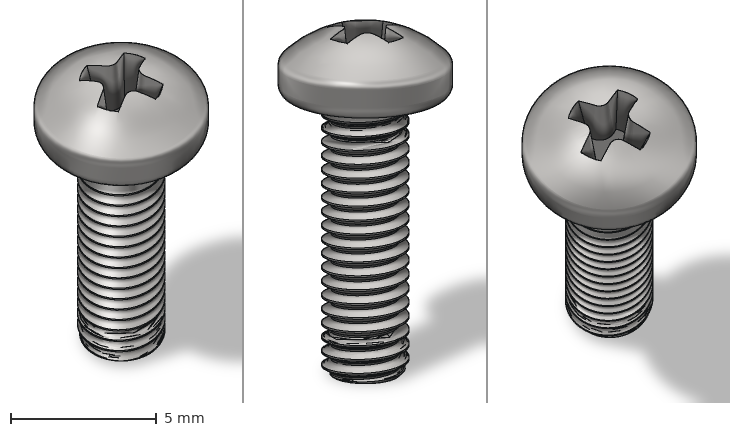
import cadquery as cq
import math

total_length = 12.44
shank_length = 9.96
head_radius = 3.0

underside_fillet = 0.45
head_wall_top = shank_length + 1.1
dome_edge_radius = 2.85
dome_edge_z = shank_length + 1.4
dome_apex_z = total_length + 0.06

recess_depth = 2.05
arm_mouth_width = 0.82
arm_floor_width = 0.41
arm_corner_radius = 0.34
mouth_radius = 1.5
floor_radius = 0.93

major_radius = 1.5
minor_radius = 1.18
twenty_pitches = 10.0
pitch = twenty_pitches / 20
crest_flat = pitch / 8
flank_angle = 30.0
crest_start_z = 0.39
core_overlap = 0.04

tip_radius = 1.2
trim_clearance = 0.25


def make_head():
    """Revolved pan head with a spherical dome; the recess is not cut yet."""
    rise = dome_apex_z - dome_edge_z
    sphere_radius = (dome_edge_radius**2 + rise**2) / (2 * rise)
    centre_z = dome_apex_z - sphere_radius
    half_angle = math.asin(dome_edge_radius / sphere_radius) / 2
    dome_middle = (
        sphere_radius * math.sin(half_angle),
        centre_z + sphere_radius * math.cos(half_angle),
    )
    fillet_inset = underside_fillet * (1 - math.sqrt(0.5))
    profile = (
        cq.Workplane("XZ")
        .moveTo(0, shank_length)
        .lineTo(head_radius - underside_fillet, shank_length)
        .threePointArc(
            (head_radius - fillet_inset, shank_length + fillet_inset),
            (head_radius, shank_length + underside_fillet),
        )
        .lineTo(head_radius, head_wall_top)
        .tangentArcPoint((dome_edge_radius, dome_edge_z), relative=False)
        .threePointArc(dome_middle, (0, dome_apex_z))
        .close()
    )
    return profile.revolve(360, (0, 0, 0), (0, 1, 0))


def make_recess():
    """Drafted cross with rounded inner corners, its arm ends trimmed by a cone."""
    arm_span = 3 * mouth_radius
    inset = (arm_mouth_width - arm_floor_width) / 2
    draft = math.degrees(math.atan(inset / recess_depth))
    bar = cq.Workplane("XY").rect(arm_span, arm_mouth_width).extrude(-recess_depth)
    cross_bar = cq.Workplane("XY").rect(arm_mouth_width, arm_span).extrude(-recess_depth)
    box_reach = arm_mouth_width
    inner_corners = cq.selectors.BoxSelector(
        (-box_reach, -box_reach, -recess_depth),
        (box_reach, box_reach, 0),
    )
    straight_cross = bar.union(cross_bar).edges("|Z").edges(inner_corners).fillet(arm_corner_radius)
    outline = straight_cross.faces(">Z").wires().val()
    drafted_cross = cq.Workplane("XY").add(outline).toPending().extrude(-recess_depth, taper=draft)
    cone = (
        cq.Workplane("XY")
        .circle(mouth_radius)
        .workplane(offset=-recess_depth)
        .circle(floor_radius)
        .loft(ruled=True)
    )
    return drafted_cross.intersect(cone).translate((0, 0, dome_apex_z))


def make_thread_ridge():
    """Helical ridge from just inside the core to the crest, overrunning both shank ends."""
    flank_slope = math.tan(math.radians(flank_angle))
    inner_radius = minor_radius - core_overlap
    crest_half = crest_flat / 2
    base_half = crest_half + (major_radius - inner_radius) * flank_slope
    start_z = crest_start_z - 2 * pitch
    helix_height = shank_length + 3 * pitch
    section = [
        (inner_radius, -base_half),
        (major_radius, -crest_half),
        (major_radius, crest_half),
        (inner_radius, base_half),
    ]
    corner_helices = [
        cq.Wire.makeHelix(pitch, helix_height, radius).translate(cq.Vector(0, 0, start_z + offset))
        for radius, offset in section
    ]
    faces = []
    for index, helix in enumerate(corner_helices):
        previous_helix = corner_helices[index - 1]
        faces.extend(cq.Face.makeRuledSurface(previous_helix, helix).Faces())
    for end in (0, 1):
        corners = [helix.positionAt(end) for helix in corner_helices]
        faces.append(cq.Face.makeFromWires(cq.Wire.makePolygon(corners, close=True)))
    return cq.Workplane(cq.Solid.makeSolid(cq.Shell.makeShell(faces)).fix())


def make_shank():
    """Core cylinder with the thread ridge, trimmed flat at both ends and chamfered at the tip."""
    trim_radius = major_radius + trim_clearance
    envelope = (
        cq.Workplane("XZ")
        .polyline(
            [
                (0, 0),
                (tip_radius, 0),
                (trim_radius, trim_radius - tip_radius),
                (trim_radius, shank_length),
                (0, shank_length),
            ]
        )
        .close()
        .revolve(360, (0, 0, 0), (0, 1, 0))
    )
    core = cq.Workplane("XY").circle(minor_radius).extrude(shank_length)
    return make_thread_ridge().intersect(envelope).union(core)


result = make_head().cut(make_recess()).union(make_shank())